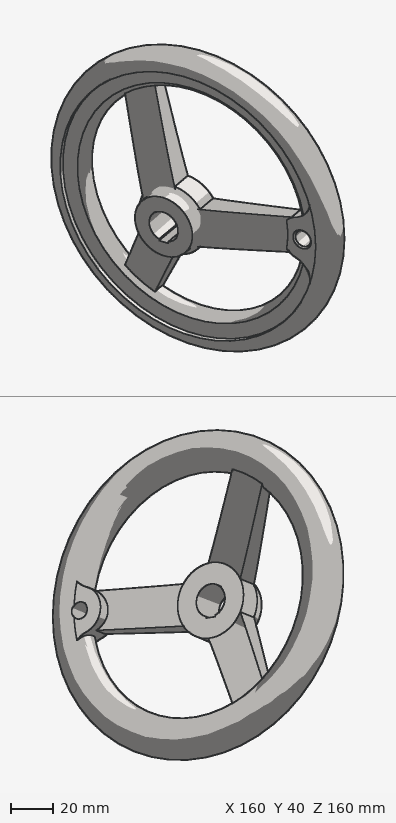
import cadquery as cq
import math

overall_depth = 40.0

rim_outer_radius = 80.0
rim_depth = 18.0
rim_crown_radius = rim_outer_radius - rim_depth / 2
rim_inner_radius = 60.0
rim_front_y = overall_depth - rim_depth
rim_mid_y = overall_depth - rim_depth / 2
lip_depth = 2.5
lip_width = 0.4
cone_inner_radius = 63.5
rim_inner_round_radius = 6.5
rim_inner_round_y = 31.2

hub_length = 20.0
hub_radius = 18.5
nose_radius = 16.0
nose_length = 4.5
nose_fillet_radius = 3.5
nose_fillet_end_radius = 17.6
body_front_y = 8.0
bore_diameter = 16.0
keyway_width = 5.0
keyway_floor_distance = 8.4

spoke_count = 3
spoke_start_radius = 12.0
spoke_end_radius = 62.5
spoke_hub_width = 21.2
spoke_end_width = 19.2
spoke_front_y = 7.45
spoke_front_slope = 0.466
spoke_back_slope = 0.36

boss_radius = 11.7
boss_center_x = 62.0
boss_front_y = 24.4
boss_back_y = 38.0
boss_blend_radius = 11.4
boss_blend_center_z = 22.0
handle_hole_diameter = 8.38
handle_hole_mouth_diameter = 10.0


def make_rim():
    """Ring with a round grip outside and a dished face inside a small front lip."""
    grip_radius = rim_depth / 2
    round_center_radius = rim_inner_radius + rim_inner_round_radius
    cone_offset = round_center_radius - cone_inner_radius
    cone_inner_y = rim_inner_round_y - math.sqrt(rim_inner_round_radius**2 - cone_offset**2)

    center_dx = round_center_radius - rim_crown_radius
    center_dy = rim_inner_round_y - rim_mid_y
    center_angle = math.atan2(center_dy, center_dx)
    tangent_offset = math.acos((grip_radius - rim_inner_round_radius) / math.hypot(center_dx, center_dy))
    normal_x = math.cos(center_angle - tangent_offset)
    normal_y = math.sin(center_angle - tangent_offset)
    lip_radius = rim_crown_radius - lip_width
    section = (
        cq.Workplane("XY")
        .moveTo(rim_crown_radius, rim_front_y)
        .threePointArc(
            (rim_outer_radius, rim_mid_y),
            (rim_crown_radius + grip_radius * normal_x, rim_mid_y + grip_radius * normal_y),
        )
        .lineTo(
            round_center_radius + rim_inner_round_radius * normal_x,
            rim_inner_round_y + rim_inner_round_radius * normal_y,
        )
        .threePointArc((rim_inner_radius, rim_inner_round_y), (cone_inner_radius, cone_inner_y))
        .lineTo(lip_radius, rim_front_y + lip_depth)
        .lineTo(rim_crown_radius, rim_front_y + lip_depth)
        .close()
    )
    return section.revolve(360, (0, 0, 0), (0, 1, 0))


def make_hub():
    """Stepped hub whose nose blends into the larger body with a concave fillet."""
    sweep = math.acos(1 - (nose_fillet_end_radius - nose_radius) / nose_fillet_radius)

    def fillet_point(angle):
        radius = nose_radius + nose_fillet_radius * (1 - math.cos(angle))
        return radius, nose_length + nose_fillet_radius * math.sin(angle)

    section = (
        cq.Workplane("XY")
        .lineTo(nose_radius, 0)
        .lineTo(nose_radius, nose_length)
        .threePointArc(fillet_point(sweep / 2), fillet_point(sweep))
        .lineTo(hub_radius, body_front_y)
        .lineTo(hub_radius, hub_length)
        .lineTo(0, hub_length)
        .close()
    )
    return section.revolve(360, (0, 0, 0), (0, 1, 0))


def y_prism(outline, y_start, y_end):
    """Extrude an outline drawn on the XZ plane from y_start to y_end."""
    return outline.extrude(-(y_end - y_start)).translate((0, y_start, 0))


def make_spoke():
    """Spoke along +X: a tapered strip of a conical web that runs from the hub back to the rim."""
    def front_y(radius):
        return spoke_front_y + (radius - nose_fillet_end_radius) * spoke_front_slope

    def back_y(radius):
        return hub_length + (radius - hub_radius) * spoke_back_slope

    web = (
        cq.Workplane("XY")
        .moveTo(spoke_start_radius, hub_length)
        .lineTo(spoke_start_radius, spoke_front_y)
        .lineTo(nose_fillet_end_radius, spoke_front_y)
        .lineTo(spoke_end_radius, front_y(spoke_end_radius))
        .lineTo(spoke_end_radius, back_y(spoke_end_radius))
        .lineTo(hub_radius, hub_length)
        .close()
        .revolve(360, (0, 0, 0), (0, 1, 0))
    )
    plan = (
        cq.Workplane("XZ")
        .polyline([
            (0, -spoke_hub_width / 2),
            (spoke_end_radius, -spoke_end_width / 2),
            (spoke_end_radius, spoke_end_width / 2),
            (0, spoke_hub_width / 2),
        ])
        .close()
    )
    return web.intersect(y_prism(plan, 0, overall_depth))


def make_boss():
    """Round boss that flares into the rim through concave blends on both sides."""
    blend_reach = boss_radius + boss_blend_radius
    blend_center_x = boss_center_x - math.sqrt(blend_reach**2 - boss_blend_center_z**2)
    tangent_x = boss_center_x + (blend_center_x - boss_center_x) * boss_radius / blend_reach
    tangent_z = boss_blend_center_z * boss_radius / blend_reach
    flare_x = blend_center_x + boss_blend_radius
    mid_angle = math.atan2(tangent_z - boss_blend_center_z, tangent_x - blend_center_x) / 2
    blend_mid_x = blend_center_x + boss_blend_radius * math.cos(mid_angle)
    blend_mid_z = boss_blend_center_z + boss_blend_radius * math.sin(mid_angle)
    flare_end_z = math.sqrt(rim_crown_radius**2 - flare_x**2)
    outline = (
        cq.Workplane("XZ")
        .moveTo(tangent_x, -tangent_z)
        .threePointArc((boss_center_x - boss_radius, 0), (tangent_x, tangent_z))
        .threePointArc((blend_mid_x, blend_mid_z), (flare_x, boss_blend_center_z))
        .lineTo(flare_x, flare_end_z)
        .threePointArc((rim_crown_radius, 0), (flare_x, -flare_end_z))
        .lineTo(flare_x, -boss_blend_center_z)
        .threePointArc((blend_mid_x, -blend_mid_z), (tangent_x, -tangent_z))
        .close()
    )
    return y_prism(outline, boss_front_y, boss_back_y)


def make_bore():
    """Hub bore with a shallow keyway on its -Z side."""
    bore = y_prism(cq.Workplane("XZ").circle(bore_diameter / 2), 0, hub_length)
    keyway_outline = (
        cq.Workplane("XZ")
        .center(0, -keyway_floor_distance / 2)
        .rect(keyway_width, keyway_floor_distance)
    )
    return bore.union(y_prism(keyway_outline, 0, hub_length))


def make_handle_hole():
    """Through hole with a 45 degree chamfer at its front mouth."""
    hole_radius = handle_hole_diameter / 2
    mouth_radius = handle_hole_mouth_diameter / 2
    section = (
        cq.Workplane("XY")
        .moveTo(0, boss_front_y)
        .lineTo(mouth_radius, boss_front_y)
        .lineTo(hole_radius, boss_front_y + mouth_radius - hole_radius)
        .lineTo(hole_radius, overall_depth)
        .lineTo(0, overall_depth)
        .close()
    )
    return section.revolve(360, (0, 0, 0), (0, 1, 0)).translate((boss_center_x, 0, 0))


wheel = make_rim().union(make_hub())
for index in range(spoke_count):
    spoke_angle = index * 360 / spoke_count
    wheel = wheel.union(make_spoke().rotate((0, 0, 0), (0, 1, 0), spoke_angle))
wheel = wheel.union(make_boss())
result = wheel.cut(make_bore()).cut(make_handle_hole())